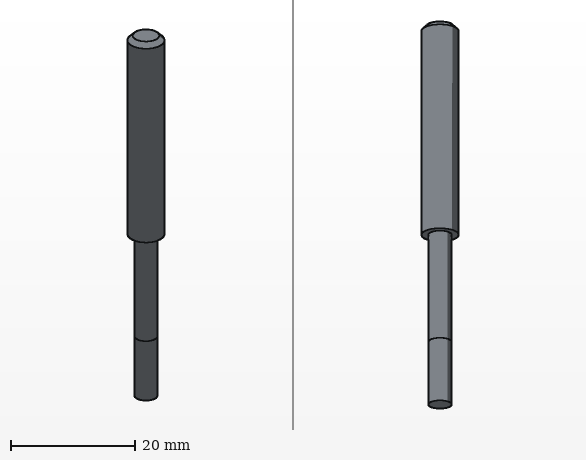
import cadquery as cq
import math

total_length = 66.0

shank_diameter = 6.0
shank_length = 36.05
shank_chamfer = 0.85

drill_diameter = 3.75
cutting_length = 11.5
point_angle = 140.0

drill_radius = drill_diameter / 2
point_height = drill_radius / math.tan(math.radians(point_angle / 2))
neck_length = total_length - shank_length - cutting_length


def make_holder():
    """Chamfered shank with the plain neck below it, down to the cutting section."""
    shank = (
        cq.Workplane("XY", origin=(0, 0, total_length - shank_length))
        .circle(shank_diameter / 2)
        .extrude(shank_length)
        .faces(">Z")
        .chamfer(shank_chamfer)
    )
    neck = (
        cq.Workplane("XY", origin=(0, 0, cutting_length))
        .circle(drill_radius)
        .extrude(neck_length)
    )
    return shank.union(neck)


def make_cutting_section():
    """Cylinder ending in a conical point at the origin, revolved about Z."""
    return (
        cq.Workplane("XZ")
        .lineTo(drill_radius, point_height)
        .lineTo(drill_radius, cutting_length)
        .lineTo(0, cutting_length)
        .close()
        .revolve(360, (0, 0, 0), (0, 1, 0))
    )


holder = make_holder()
cutting_section = make_cutting_section()

result = cq.Compound.makeCompound([holder.val(), cutting_section.val()])